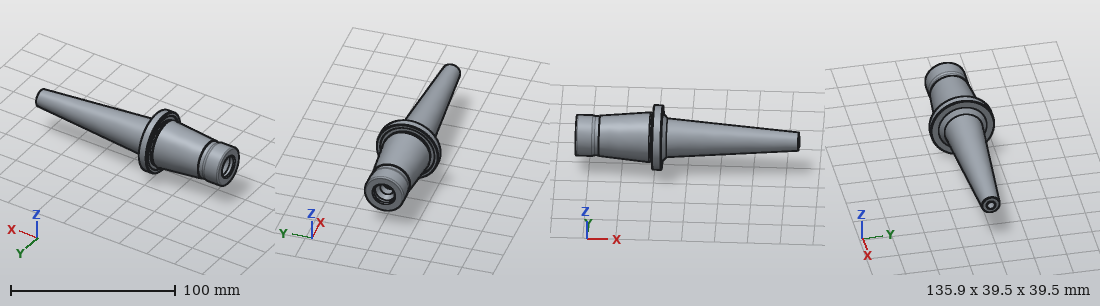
import math

import cadquery as cq

TOTAL_LENGTH = 135.85

NOSE_DIAMETER = 25.0
NOSE_FILLET = 0.9
NOSE_END = 9.8
GROOVE_DIAMETER = 24.0
GROOVE_START = 11.5
GROOVE_END = 14.1

TAPER_START = 14.4
TAPER_SMALL_DIAMETER = 24.8
TAPER_END = 44.9
TAPER_LARGE_DIAMETER = 30.5
NECK_START = 45.9
NECK_DIAMETER = 29.5

FLANGE_DIAMETER = 39.5
FLANGE_START = 46.8
FLANGE_WIDTH = 5.7
FLANGE_CHAMFER = 0.5
FLANGE_END = FLANGE_START + FLANGE_WIDTH
RECESS_DIAMETER = 34.9
RECESS_FLOOR_DIAMETER = 34.3
RECESS_DEPTH = 0.4

SHOULDER_DIAMETER = 29.9
SHANK_START = 55.3
SHANK_LARGE_DIAMETER = 23.8
SHANK_SMALL_DIAMETER = 11.35
SHANK_CHAMFER = 0.4
TIP_LENGTH = 0.4
TIP_DIAMETER = 5.7
SHANK_END = TOTAL_LENGTH - TIP_LENGTH

MOUTH_DIAMETER = 14.7
MOUTH_DEPTH = 0.8
SOCKET_DIAMETER = 13.0
SOCKET_END = 3.2
COUNTERBORE_DIAMETER = 8.53
COUNTERBORE_START = 6.3
COUNTERBORE_END = 12.0
DRILL_DIAMETER = 6.29
DRILL_END = 25.0
THROUGH_DIAMETER = 4.76


def axial_point(distance, diameter):
    """Profile point at a distance from the nose face and a given diameter."""
    return (distance - TOTAL_LENGTH / 2, diameter / 2)


def revolve_profile(profile):
    """Close a profile that starts and ends on the X axis and turn it about that axis."""
    return profile.close().revolve(360, (0, 0), (1, 0))


def add_points(profile, stations):
    """Extend a profile by straight lines through (distance, diameter) stations."""
    for distance, diameter in stations:
        profile = profile.lineTo(*axial_point(distance, diameter))
    return profile


def make_body():
    profile = cq.Workplane("XY").moveTo(*axial_point(0, 0))
    profile = profile.lineTo(*axial_point(0, NOSE_DIAMETER - 2 * NOSE_FILLET))
    arc_inset = NOSE_FILLET * (1 - math.sqrt(0.5))
    profile = profile.threePointArc(
        axial_point(arc_inset, NOSE_DIAMETER - 2 * arc_inset),
        axial_point(NOSE_FILLET, NOSE_DIAMETER),
    )
    nose_and_taper = [
        (NOSE_END, NOSE_DIAMETER),
        (GROOVE_START, GROOVE_DIAMETER),
        (GROOVE_END, GROOVE_DIAMETER),
        (TAPER_START, TAPER_SMALL_DIAMETER),
        (TAPER_END, TAPER_LARGE_DIAMETER),
        (NECK_START, NECK_DIAMETER),
    ]
    flange_edge_diameter = FLANGE_DIAMETER - 2 * FLANGE_CHAMFER
    flange = [
        (FLANGE_START + RECESS_DEPTH, NECK_DIAMETER),
        (FLANGE_START + RECESS_DEPTH, RECESS_FLOOR_DIAMETER),
        (FLANGE_START, RECESS_DIAMETER),
        (FLANGE_START, flange_edge_diameter),
        (FLANGE_START + FLANGE_CHAMFER, FLANGE_DIAMETER),
        (FLANGE_END - FLANGE_CHAMFER, FLANGE_DIAMETER),
        (FLANGE_END, flange_edge_diameter),
    ]
    shank = [
        (FLANGE_END, SHOULDER_DIAMETER),
        (SHANK_START, SHANK_LARGE_DIAMETER),
        (SHANK_END - SHANK_CHAMFER, SHANK_SMALL_DIAMETER),
        (SHANK_END, SHANK_SMALL_DIAMETER - 2 * SHANK_CHAMFER),
        (SHANK_END, TIP_DIAMETER),
        (TOTAL_LENGTH, TIP_DIAMETER),
        (TOTAL_LENGTH, 0),
    ]
    return revolve_profile(add_points(profile, nose_and_taper + flange + shank))


def make_bore():
    profile = cq.Workplane("XY").moveTo(*axial_point(0, 0))
    stations = [
        (0, MOUTH_DIAMETER),
        (MOUTH_DEPTH, SOCKET_DIAMETER),
        (SOCKET_END, SOCKET_DIAMETER),
        (COUNTERBORE_START, COUNTERBORE_DIAMETER),
        (COUNTERBORE_END, COUNTERBORE_DIAMETER),
        (COUNTERBORE_END, DRILL_DIAMETER),
        (DRILL_END, DRILL_DIAMETER),
        (DRILL_END, THROUGH_DIAMETER),
        (TOTAL_LENGTH, THROUGH_DIAMETER),
        (TOTAL_LENGTH, 0),
    ]
    return revolve_profile(add_points(profile, stations))


result = make_body().cut(make_bore())